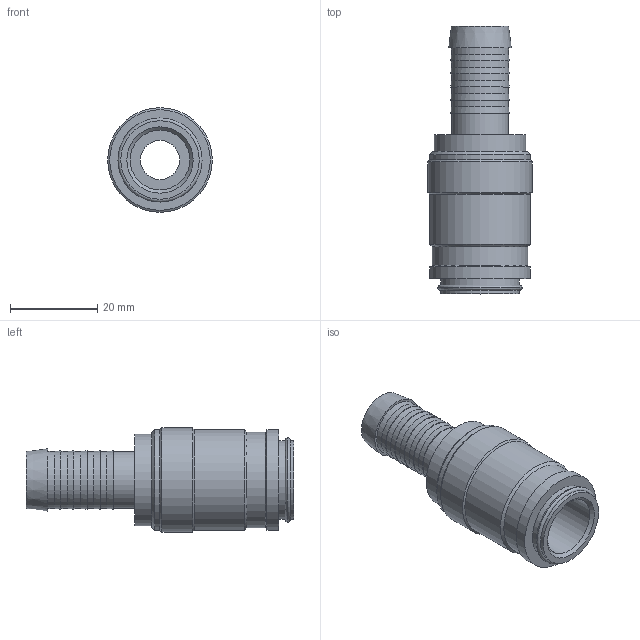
import cadquery as cq
import math

total_length = 61.5
mouth_offset = -total_length / 2

nose_radius = 9.0
nose_length = 3.5
ring_center = 1.4
ring_section_radius = 0.55
ring_section_lift = 0.1
ring_section_offset = ring_section_radius * math.sqrt(0.5)
ring_foot_half_width = math.sqrt(ring_section_radius**2 - ring_section_lift**2)

body_radius = 11.55
flange_groove_start = 6.2
groove_radius = 11.0
groove_start = 6.55
groove_end = 10.8
groove_end_at_body = 11.4
collar_radius = 12.0
collar_chamfer_start = 22.9
collar_start = 23.2
collar_end = 30.3
collar_chamfer_end = 30.8
body_end_chamfer = 0.7
body_end = 32.7
shoulder_radius = 10.5

tail_length = 25.0
tail_radius = 6.55
tail_start = total_length - tail_length
rib_radius = 6.7
rib_count = 5
rib_length = 1.5
rib_pitch = 2 * rib_length
plain_tail_length = 5.0
barb_length = 5.0
barb_radius = 7.15
barb_start = total_length - barb_length
barb_arc_rise = 0.05

bore_radius = 4.5
socket_radius = 6.85
socket_depth = 25.0
mouth_chamfer = 0.75


def add_nose(profile):
    """Trace the nose and the retaining ring, two equal arcs meeting at its crest."""
    section_center = nose_radius + ring_section_lift
    crest = (section_center + ring_section_radius, ring_center)
    arc_point_radius = section_center + ring_section_offset
    return (
        profile.lineTo(nose_radius, 0)
        .lineTo(nose_radius, ring_center - ring_foot_half_width)
        .threePointArc((arc_point_radius, ring_center - ring_section_offset), crest)
        .threePointArc(
            (arc_point_radius, ring_center + ring_section_offset),
            (nose_radius, ring_center + ring_foot_half_width),
        )
        .lineTo(nose_radius, nose_length)
    )


def add_body(profile):
    """Trace the flange, the groove, the sleeve, the collar and the shoulder."""
    return (
        profile.lineTo(body_radius, nose_length)
        .lineTo(body_radius, flange_groove_start)
        .lineTo(groove_radius, groove_start)
        .lineTo(groove_radius, groove_end)
        .lineTo(body_radius, groove_end_at_body)
        .lineTo(body_radius, collar_chamfer_start)
        .lineTo(collar_radius, collar_start)
        .lineTo(collar_radius, collar_end)
        .lineTo(body_radius, collar_chamfer_end)
        .lineTo(body_radius, body_end - body_end_chamfer)
        .lineTo(body_radius - body_end_chamfer, body_end)
        .lineTo(shoulder_radius, body_end)
        .lineTo(shoulder_radius, tail_start)
    )


def add_tail(profile):
    """Trace the saw-tooth ribs and the end barb of the hose tail."""
    profile = profile.lineTo(tail_radius, tail_start)
    for index in range(rib_count):
        rib_start = tail_start + plain_tail_length + index * rib_pitch
        profile = (
            profile.lineTo(tail_radius, rib_start)
            .lineTo(rib_radius, rib_start)
            .lineTo(tail_radius, rib_start + rib_length)
        )
    barb_middle = (
        (barb_radius + tail_radius) / 2 + barb_arc_rise,
        barb_start + barb_length / 2,
    )
    return (
        profile.lineTo(tail_radius, barb_start)
        .lineTo(barb_radius, barb_start)
        .threePointArc(barb_middle, (tail_radius, total_length))
    )


def add_bore(profile):
    """Trace the through bore, the socket and its mouth chamfer, and close the outline."""
    return (
        profile.lineTo(bore_radius, total_length)
        .lineTo(bore_radius, socket_depth)
        .lineTo(socket_radius, socket_depth)
        .lineTo(socket_radius, mouth_chamfer)
        .close()
    )


half_section = cq.Workplane("XY").moveTo(socket_radius + mouth_chamfer, 0)
half_section = add_nose(half_section)
half_section = add_body(half_section)
half_section = add_tail(half_section)
half_section = add_bore(half_section)

coupling = half_section.revolve(360, (0, 0, 0), (0, 1, 0))
result = coupling.translate((0, mouth_offset, 0))